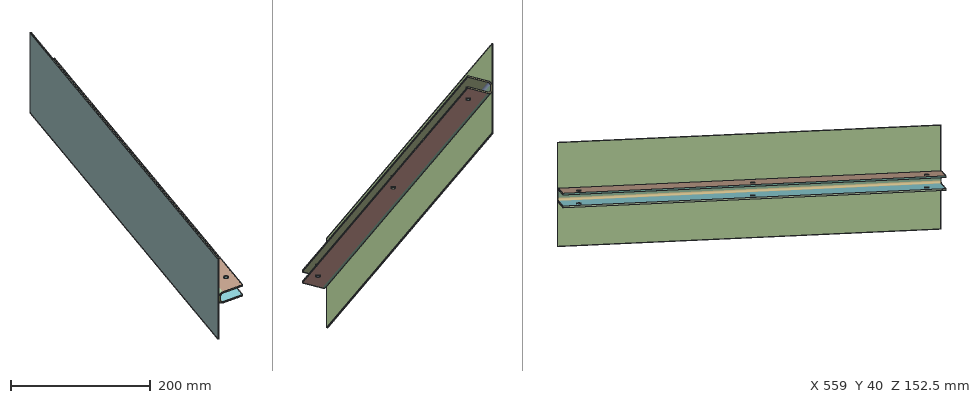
import cadquery as cq

length = 559.0
depth = 40.0
plate_height = 152.5

plate_thickness = 2.0

channel_height = 21.0
channel_wall = 2.5
outer_bend_radius = 6.0
inner_bend_radius = outer_bend_radius - channel_wall
channel_depth = depth - plate_thickness

hole_diameter = 6.5
hole_end_distance = 25.5
hole_edge_distance = 13.0
hole_spacing = length / 2 - hole_end_distance


def make_plate():
    """Upright flat plate whose front face lies on Y = 0."""
    return cq.Workplane("XY").box(length, plate_thickness, plate_height, centered=(True, False, True))


def make_channel():
    """Bent channel with its web against the back of the plate."""
    outer = (
        cq.Workplane("XY")
        .box(length, channel_depth, channel_height, centered=(True, False, True))
        .edges("|X and <Y")
        .fillet(outer_bend_radius)
    )
    inside = (
        cq.Workplane("XY")
        .box(
            length,
            channel_depth - channel_wall,
            channel_height - 2 * channel_wall,
            centered=(True, False, True),
        )
        .edges("|X and <Y")
        .fillet(inner_bend_radius)
        .translate((0, channel_wall, 0))
    )
    holes = (
        cq.Workplane("XY")
        .workplane(offset=-channel_height / 2)
        .pushPoints([(step * hole_spacing, channel_depth - hole_edge_distance) for step in (-1, 0, 1)])
        .circle(hole_diameter / 2)
        .extrude(channel_height)
    )
    return outer.cut(inside).cut(holes).translate((0, plate_thickness, 0))


plate = make_plate()
channel = make_channel()

result = cq.Compound.makeCompound([plate.val(), *channel.solids().vals()])